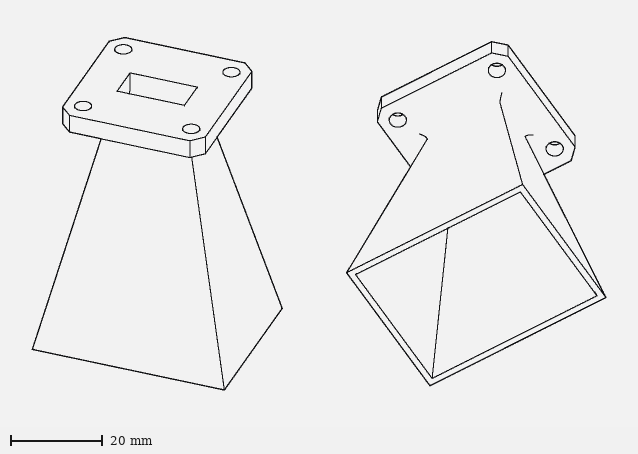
import cadquery as cq

total_height = 62.5
mouth_x = 45.0
mouth_y = 35.05
wall = 1.45

guide_x = 15.75
guide_y = 7.8

flange_side = 33.4
flange_thickness = 4.4
flange_chamfer = 2.6
hole_spacing_x = 25.3
hole_spacing_y = 24.3
hole_diameter = 3.75

neck_fillet = 1.45
neck_x = guide_x + 2 * wall
neck_y = guide_y + 2 * wall

flange_bottom = total_height - flange_thickness
horn_top = flange_bottom - neck_fillet


def tapered_block(bottom_x, bottom_y, top_x, top_y, height):
    """Rectangular frustum standing on the mouth plane."""
    return (
        cq.Workplane("XY")
        .rect(bottom_x, bottom_y)
        .workplane(offset=height)
        .rect(top_x, top_y)
        .loft(ruled=True, combine=True)
    )


def flange_with_neck():
    """Flange with chamfered corners and a neck blended into its underside."""
    flange = (
        cq.Workplane("XY")
        .workplane(offset=flange_bottom)
        .rect(flange_side, flange_side)
        .extrude(flange_thickness)
        .edges("|Z")
        .chamfer(flange_chamfer)
    )
    neck = (
        cq.Workplane("XY")
        .workplane(offset=flange_bottom)
        .rect(neck_x, neck_y)
        .extrude(-2 * neck_fillet)
    )
    reach_x = neck_x / 2 + wall
    reach_y = neck_y / 2 + wall
    root_edges = cq.selectors.BoxSelector(
        (-reach_x, -reach_y, flange_bottom - neck_fillet / 2),
        (reach_x, reach_y, flange_bottom + neck_fillet / 2),
    )
    return flange.union(neck).edges(root_edges).fillet(neck_fillet)


def waveguide_bore():
    """Straight opening through the flange that flares out to the mouth."""
    flare = tapered_block(
        mouth_x - 2 * wall, mouth_y - 2 * wall, guide_x, guide_y, flange_bottom
    )
    straight = (
        cq.Workplane("XY")
        .workplane(offset=flange_bottom)
        .rect(guide_x, guide_y)
        .extrude(flange_thickness)
    )
    return flare.union(straight)


def bolt_holes():
    """Four through holes near the flange corners."""
    return (
        cq.Workplane("XY")
        .workplane(offset=flange_bottom)
        .rarray(hole_spacing_x, hole_spacing_y, 2, 2)
        .circle(hole_diameter / 2)
        .extrude(flange_thickness)
    )


horn = tapered_block(mouth_x, mouth_y, neck_x, neck_y, horn_top)
result = horn.union(flange_with_neck()).cut(waveguide_bore()).cut(bolt_holes())